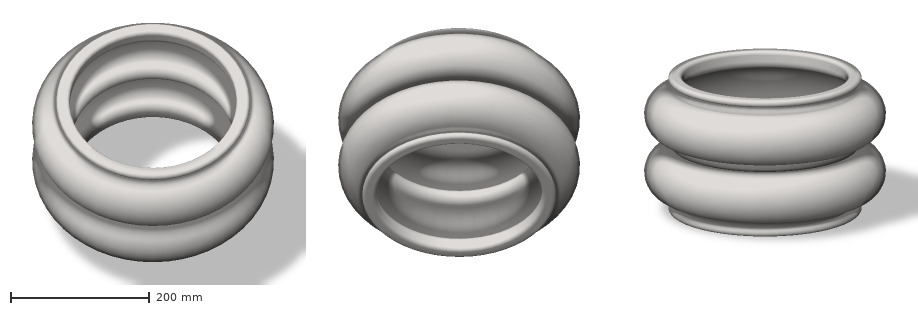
import cadquery as cq
import math

outer_radius = 175.0
half_height = 102.5
wall = 5.2

lobe_top = 80.5
lobe_bottom = 6.5
lobe_radius = (lobe_top - lobe_bottom) / 2
lobe_height = (lobe_top + lobe_bottom) / 2
lobe_center = outer_radius - lobe_radius
lobe_inner_radius = lobe_radius - wall

bead_thickness = 10.5
bead_outer_radius = 140.0
bead_round = bead_thickness / 2
bead_bottom = half_height - bead_thickness
neck_radius = 126.0
bore_radius = neck_radius - wall
bore_round = wall
flare_radius = bead_bottom - lobe_top

girdle_section_radius = lobe_bottom
girdle_center = 130.0
waist_inner_radius = girdle_section_radius + wall

DIAGONAL = math.sqrt(0.5)


def revolve(profile):
    """Revolve a closed radius-height profile around Z."""
    return profile.close().revolve(360, (0, 0, 0), (0, 1, 0))


def make_convolution():
    """Upper bulge and its end collar, down to the edge of the waist."""
    flare_center_r = neck_radius + flare_radius
    flare_mid = (flare_center_r - flare_radius * DIAGONAL, bead_bottom - flare_radius * DIAGONAL)
    flare_inner_mid = (flare_mid[0] - wall, flare_mid[1] - wall)
    bore_round_mid = (
        bore_radius + bore_round * (1 - DIAGONAL),
        half_height - bore_round * (1 - DIAGONAL),
    )
    profile = (
        cq.Workplane("XZ")
        .moveTo(girdle_center, lobe_bottom)
        .lineTo(lobe_center, lobe_bottom)
        .threePointArc((outer_radius, lobe_height), (lobe_center, lobe_top))
        .lineTo(flare_center_r, lobe_top)
        .threePointArc(flare_mid, (neck_radius, bead_bottom))
        .lineTo(bead_outer_radius - bead_round, bead_bottom)
        .threePointArc(
            (bead_outer_radius, half_height - bead_round),
            (bead_outer_radius - bead_round, half_height),
        )
        .lineTo(bore_radius + bore_round, half_height)
        .threePointArc(bore_round_mid, (bore_radius, half_height - bore_round))
        .lineTo(bore_radius, bead_bottom - wall)
        .threePointArc(flare_inner_mid, (flare_center_r - wall, lobe_top - wall))
        .lineTo(lobe_center, lobe_top - wall)
        .threePointArc(
            (lobe_center + lobe_inner_radius, lobe_height),
            (lobe_center, lobe_bottom + wall),
        )
        .lineTo(girdle_center, lobe_bottom + wall)
    )
    return revolve(profile)


def make_waist():
    """C-shaped fold that joins the two bulges, open towards the outside."""
    profile = (
        cq.Workplane("XZ")
        .moveTo(girdle_center, girdle_section_radius)
        .threePointArc(
            (girdle_center - girdle_section_radius, 0),
            (girdle_center, -girdle_section_radius),
        )
        .lineTo(girdle_center, -waist_inner_radius)
        .threePointArc(
            (girdle_center - waist_inner_radius, 0),
            (girdle_center, waist_inner_radius),
        )
    )
    return revolve(profile)


def make_bellows():
    """One thin-walled body: two mirrored convolutions joined by the waist."""
    upper = make_convolution()
    lower = upper.mirror("XY")
    return upper.union(make_waist()).union(lower).clean()


def make_girdle_ring():
    """Ring of round section filling the waist groove."""
    section = cq.Workplane("XZ").center(girdle_center, 0).circle(girdle_section_radius)
    return section.revolve(360, (-girdle_center, 0, 0), (-girdle_center, 1, 0))


bellows = make_bellows()
girdle_ring = make_girdle_ring()

result = cq.Compound.makeCompound([bellows.solids().val(), girdle_ring.val()])